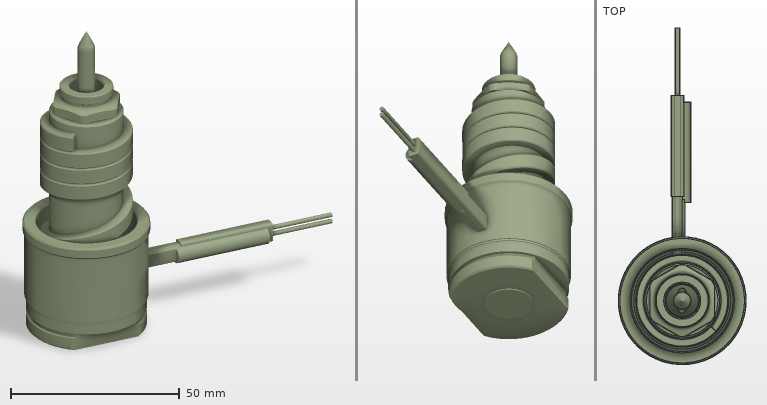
import cadquery as cq
import math

overlap = 1.0

foot_radius, foot_height = 7.2, 0.3
base_radius = 18.0
base_chamfer = 0.5
base_groove_radius = 17.1
base_groove_bottom, base_groove_top = 4.4, 6.0
base_flat_offset = 14.1
housing_bottom = 10.5
housing_radius = 18.5
housing_step_radius, housing_step_height = 18.2, 0.6
flange_radius = 19.0
flange_bottom, flange_top = 32.0, 35.1
flange_chamfer = housing_step_height
bore_radius = 15.1
bore_chamfer = 0.4
lower_bore_radius, bore_ledge = 14.4, 14.0

shaft_radius = 11.1
shaft_top = 72.2
shaft_chamfer = 0.5
washer_radius = 9.0

nut_bottom, nut_rim, nut_top = 72.8, 75.2, 76.2
nut_apothem = 9.6
nut_corner_radius = 10.7
collar_neck_radius = 7.5
neck_foot = 0.3
collar_radius = 8.0
collar_bottom, collar_top = 77.5, 80.3
collar_chamfer = 0.3

socket_radius = 5.1
socket_chamfer = 0.4
socket_floor = 68.0
pin_radius = 2.6
pin_shoulder_radius = 4.8
pin_tip_radius = 2.4
pin_straight_top, pin_tip_base, pin_tip = 92.7, 93.5, 98.2
cross_hole_radius = 1.4
cross_hole_height = 70.5

rib_radius = 13.8
rib_root_radius = shaft_radius - 0.2
rib_bevel_radius, rib_bevel_rise = 11.5, 0.2
rib_height = 5.0
rib_chamfer = 0.3
rib_start_height = 69.3
close_pitch, steep_pitch = 5.3, 21.6
rib_start = 42.0
steepening_start = 3 * 360 + 54.5
flattening_start = 4 * 360 + 45.0
transition_angle = 140.0
rib_end = 4 * 360 + 255.0
rib_step = 10.0

cable_height = 17.2
lead_x = -1.4
wire_radius, wire_spacing = 0.7, 2.1
wire_end = 81.0
sleeve_width, sleeve_bottom, sleeve_top, sleeve_fillet = 3.8, 14.3, 20.5, 1.0
sleeve_start, sleeve_end = 30.9, 61.0
lead_width, lead_depth, lead_fillet = 3.2, 5.2, 0.8
back_lead_x, back_lead_width, back_lead_depth, back_lead_fillet = 0.2, 1.3, 4.8, 0.6
tube_radius, tube_height = 2.6, 16.9
tube_start, tube_end = 29.1, 59.0


def turned(profile):
    """Solid of revolution about Z from (radius, height) points."""
    return cq.Workplane("XZ").polyline(profile).close().revolve(360, (0, 0), (0, 1))


def make_housing():
    housing = turned([
        (0, foot_height),
        (base_radius - base_chamfer, foot_height),
        (base_radius, foot_height + base_chamfer),
        (base_radius, base_groove_bottom),
        (base_groove_radius, base_groove_bottom),
        (base_groove_radius, base_groove_top),
        (base_radius, base_groove_top),
        (base_radius, housing_bottom - housing_step_height),
        (housing_step_radius, housing_bottom - housing_step_height),
        (housing_step_radius, housing_bottom),
        (housing_radius, housing_bottom),
        (housing_radius, flange_bottom - flange_chamfer),
        (flange_radius, flange_bottom),
        (flange_radius, flange_top - flange_chamfer),
        (housing_radius, flange_top),
        (bore_radius + bore_chamfer, flange_top),
        (bore_radius, flange_top - bore_chamfer),
        (bore_radius, bore_ledge),
        (lower_bore_radius, bore_ledge),
        (lower_bore_radius, housing_bottom),
        (0, housing_bottom),
    ])
    flat_depth = flange_radius - base_flat_offset
    for side in (-1, 1):
        flat_cut = cq.Workplane("XY").box(
            flat_depth, 2 * flange_radius, base_groove_top, centered=(True, True, False)
        )
        housing = housing.cut(flat_cut.translate((side * (base_flat_offset + flat_depth / 2), 0, 0)))
    foot = cq.Workplane("XY").circle(foot_radius).extrude(foot_height + overlap)
    return housing.union(foot)


def make_shaft():
    return turned([
        (0, housing_bottom - overlap),
        (shaft_radius, housing_bottom - overlap),
        (shaft_radius, shaft_top - shaft_chamfer),
        (shaft_radius - shaft_chamfer, shaft_top),
        (washer_radius, shaft_top),
        (washer_radius, nut_bottom),
        (collar_neck_radius + neck_foot, nut_bottom),
        (collar_neck_radius + neck_foot, nut_top),
        (collar_neck_radius, nut_top + neck_foot),
        (collar_neck_radius, collar_bottom),
        (collar_radius, collar_bottom + collar_chamfer),
        (collar_radius, collar_top - collar_chamfer),
        (collar_radius - collar_chamfer, collar_top),
        (0, collar_top),
    ])


def make_nut():
    """Hexagon with corners on +Y and -Y, trimmed by a cone above and a cylinder at the corners."""
    hexagon = (
        cq.Workplane("XY", origin=(0, 0, nut_bottom))
        .polygon(6, 2 * nut_apothem, circumscribed=True)
        .extrude(nut_top - nut_bottom)
    )
    trim = turned([
        (0, nut_bottom),
        (nut_corner_radius, nut_bottom),
        (nut_corner_radius, nut_rim),
        (collar_neck_radius + neck_foot, nut_top),
        (0, nut_top),
    ])
    return hexagon.intersect(trim)


def make_socket():
    return turned([
        (0, socket_floor),
        (socket_radius, socket_floor),
        (socket_radius, collar_top - socket_chamfer),
        (socket_radius + socket_chamfer, collar_top),
        (0, collar_top),
    ])


def make_pin():
    """Pointed pin on a 45 degree shoulder, with a hole across the shoulder along Y."""
    pin = turned([
        (0, socket_floor - overlap),
        (pin_shoulder_radius, socket_floor - overlap),
        (pin_shoulder_radius, socket_floor),
        (pin_radius, socket_floor + pin_shoulder_radius - pin_radius),
        (pin_radius, pin_straight_top),
        (pin_tip_radius, pin_tip_base),
        (0, pin_tip),
    ])
    cross_hole = (
        cq.Workplane("XZ", origin=(0, 0, cross_hole_height))
        .circle(cross_hole_radius)
        .extrude(pin_shoulder_radius, both=True)
    )
    return pin.cut(cross_hole)


def added_drop(angle, start):
    """Extra drop per unit of added pitch, when the pitch rises evenly over a transition from start."""
    travelled = max(0.0, angle - start)
    ramp = min(travelled, transition_angle)
    return (ramp ** 2 / (2 * transition_angle) + travelled - ramp) / 360


def rib_top(angle):
    """Height of the rib's top edge at a clockwise angle."""
    close_drop = close_pitch * (angle - rib_start) / 360
    steep_share = added_drop(angle, steepening_start) - added_drop(angle, flattening_start)
    return rib_start_height - close_drop - (steep_pitch - close_pitch) * steep_share


def rib_edge(radius, below_top):
    """Spiral edge at a given radius and depth under the rib's top edge."""
    steps = math.ceil((rib_end - rib_start) / rib_step)
    points = []
    for i in range(steps + 1):
        angle = rib_start + (rib_end - rib_start) * i / steps
        turn = math.radians(-angle)
        height = rib_top(angle) - below_top
        points.append(cq.Vector(radius * math.cos(turn), radius * math.sin(turn), height))
    return cq.Edge.makeSpline(points)


def make_rib():
    section = [
        (rib_root_radius, -rib_bevel_rise),
        (rib_bevel_radius, 0),
        (rib_radius - rib_chamfer, 0),
        (rib_radius, rib_chamfer),
        (rib_radius, rib_height - rib_chamfer),
        (rib_radius - rib_chamfer, rib_height),
        (rib_root_radius, rib_height),
    ]
    edges = [rib_edge(radius, depth) for radius, depth in section]
    faces = [cq.Face.makeRuledSurface(edges[i - 1], edges[i]) for i in range(len(edges))]
    for end in (0, 1):
        corners = [edge.positionAt(end) for edge in edges]
        faces.append(cq.Face.makeFromWires(cq.Wire.makePolygon(corners, close=True)))
    rib = cq.Solid.makeSolid(cq.Shell.makeShell(faces))
    return cq.Workplane(obj=rib.fix())


def rounded_bar(x, z, width, depth, fillet, start, end):
    """Bar along Y with rounded long edges."""
    bar = cq.Workplane("XY").box(width, end - start, depth).edges("|Y").fillet(fillet)
    return bar.translate((x, (start + end) / 2, z))


def rod(x, z, radius, start, end):
    """Round rod along Y."""
    return cq.Workplane("XZ", origin=(x, start, z)).circle(radius).extrude(start - end)


def make_cable():
    sleeve_height = (sleeve_bottom + sleeve_top) / 2
    sleeve_depth = sleeve_top - sleeve_bottom
    cable = rounded_bar(
        lead_x, sleeve_height, sleeve_width, sleeve_depth, sleeve_fillet, sleeve_start, sleeve_end
    )
    lead_start = shaft_radius - overlap
    cable = cable.union(rounded_bar(
        lead_x, cable_height, lead_width, lead_depth, lead_fillet, lead_start, sleeve_start + overlap
    ))
    cable = cable.union(rounded_bar(
        back_lead_x, cable_height, back_lead_width, back_lead_depth, back_lead_fillet,
        lead_start, tube_start + overlap
    ))
    cable = cable.union(rod(0, tube_height, tube_radius, tube_start, tube_end))
    for side in (-1, 1):
        wire_height = cable_height + side * wire_spacing / 2
        cable = cable.union(rod(lead_x, wire_height, wire_radius, sleeve_end - overlap, wire_end))
    return cable


shaft = make_shaft().union(make_nut()).cut(make_socket()).union(make_pin())
result = make_housing().union(shaft).union(make_rib()).union(make_cable())